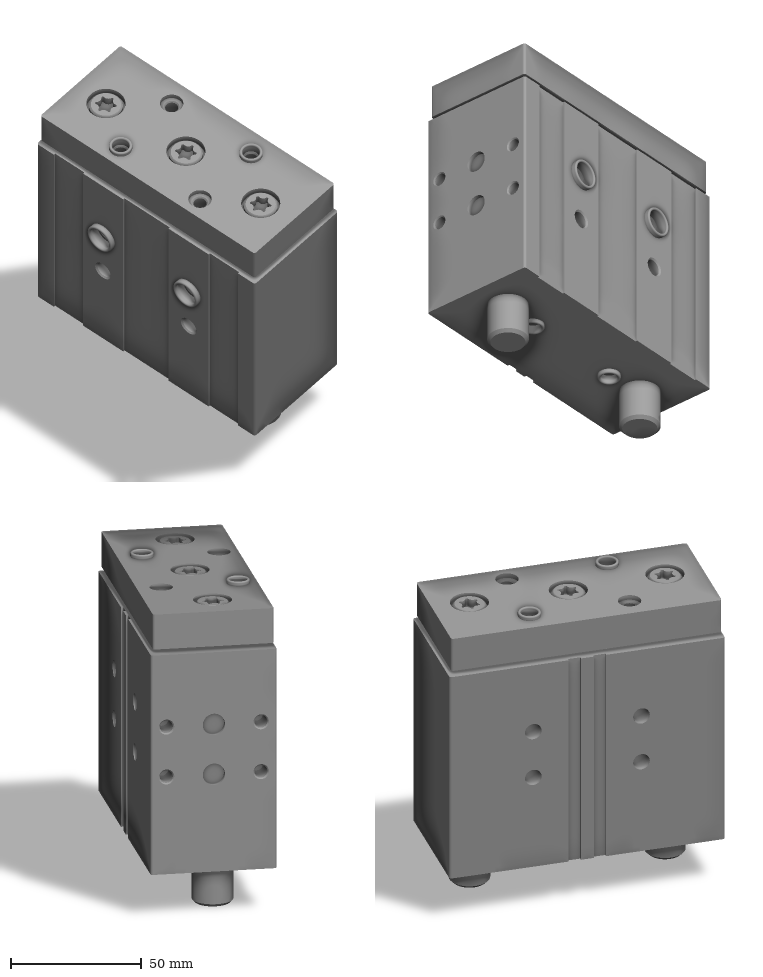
import cadquery as cq
import math


rod_overhang = 17.0
housing_height = 88.0
plate_gap = 2.1
plate_thickness = 14.0
overall_height = 122.8

housing_bottom = rod_overhang
housing_top = housing_bottom + housing_height
plate_bottom = housing_top + plate_gap
plate_top = plate_bottom + plate_thickness

housing_width = 110.0
housing_depth = 49.0
corner_radius = 1.0
front_face = -housing_depth / 2
back_face = housing_depth / 2
channel_depth = 0.7
center_channel_half = 11.4
side_channel_inner = 31.7
side_channel_outer = 46.4
back_slot_width = 15.0
back_slot_depth = 1.0
back_tongue_width = 5.2

plate_inset = 1.0
plate_width = housing_width - 2 * plate_inset
plate_depth = housing_depth - 2 * plate_inset

guide_rod_x = 39.0
guide_rod_y = -2.5
guide_rod_diameter = 16.0
rod_chamfer = 1.2
piston_y = -1.0
piston_rod_diameter = 9.8
piston_rod_depth = 73.7

rod_axes = [(-guide_rod_x, guide_rod_y), (0, piston_y), (guide_rod_x, guide_rod_y)]
head_recess_diameter = 15.0
head_recess_depth = 3.0
head_diameter = 13.0
head_drop = 0.5
head_chamfer = 0.7
star_outer_radius = 4.2
star_inner_radius = 3.0
star_depth = 3.2
star_lobes = 6
lobe_shoulder_radius = 3.7
lobe_half_angle = 9

plate_hole_x = 20.0
plate_hole_half_pitch = 15.0
plate_hole_diameter = 5.0
plate_hole_rim_diameter = 6.0

small_sleeve_diameter = 9.0
small_sleeve_bore = 6.6
small_seat_depth = 2.0
small_sleeve_length = small_seat_depth + overall_height - plate_top
bottom_sleeve_x = 22.6

upper_row_drop = 29.0
upper_row_z = housing_top - upper_row_drop
row_pitch = 20.0
lower_row_z = upper_row_z - row_pitch
front_hole_x = 21.6
front_hole_diameter = 6.6
front_hole_rim_diameter = 7.9
front_sleeve_diameter = 12.0
front_sleeve_bore = 9.7
front_sleeve_overhang = 2.3
front_seat_depth = 2.5

port_diameter = 8.6
port_recess = 2.0
port_plug_length = 4.9
side_hole_y = 18.4
side_hole_diameter = 5.0
side_hole_rim_diameter = 6.0
side_hole_depth = 9.8
drill_tip_angle = 118.0


def cylinder(diameter, length, start, direction):
    """A solid cylinder from a start point along a direction."""
    return cq.Workplane(obj=cq.Solid.makeCylinder(
        diameter / 2, length, cq.Vector(*start), cq.Vector(*direction)))


def cone(start_diameter, end_diameter, length, start, direction):
    """A solid cone from a start point along a direction."""
    return cq.Workplane(obj=cq.Solid.makeCone(
        start_diameter / 2, end_diameter / 2, length, cq.Vector(*start), cq.Vector(*direction)))


def hole_rim(rim_diameter, hole_diameter, start, direction):
    """A 45 degree countersink from a rim down to a hole."""
    return cone(rim_diameter, hole_diameter, (rim_diameter - hole_diameter) / 2, start, direction)


def block(x_min, x_max, y_min, y_max, z_min, z_max):
    size = (x_max - x_min, y_max - y_min, z_max - z_min)
    return cq.Workplane("XY").box(*size, centered=False).translate((x_min, y_min, z_min))


def star_socket(center, z_top):
    """A six-lobed drive socket with a lobe pointing along +Y."""
    def point(radius, degrees):
        angle = math.radians(degrees)
        return (radius * math.cos(angle), radius * math.sin(angle))

    first_angle = 90
    lobe_pitch = 360 / star_lobes
    outline = cq.Workplane("XY").moveTo(*point(lobe_shoulder_radius, first_angle - lobe_half_angle))
    for index in range(star_lobes):
        angle = first_angle + index * lobe_pitch
        outline = outline.threePointArc(
            point(star_outer_radius, angle),
            point(lobe_shoulder_radius, angle + lobe_half_angle))
        outline = outline.threePointArc(
            point(star_inner_radius, angle + lobe_pitch / 2),
            point(lobe_shoulder_radius, angle + lobe_pitch - lobe_half_angle))
    return outline.close().extrude(-star_depth).translate((*center, z_top))


def ring_sleeve(diameter, bore, length):
    """A sleeve standing on the XY plane, with its top end rounded over the whole wall."""
    outer_radius = diameter / 2
    inner_radius = bore / 2
    rounding = (outer_radius - inner_radius) / 2
    profile = (
        cq.Workplane("XZ")
        .moveTo(inner_radius, 0)
        .lineTo(outer_radius, 0)
        .lineTo(outer_radius, length - rounding)
        .threePointArc((inner_radius + rounding, length), (inner_radius, length - rounding))
        .close()
    )
    return profile.revolve(360, (0, 0, 0), (0, 1, 0))


def cut_side_threads(body):
    tip_length = side_hole_diameter / 2 / math.tan(math.radians(drill_tip_angle / 2))
    left_face = -housing_width / 2
    for y in (-side_hole_y, side_hole_y):
        for z in (lower_row_z, upper_row_z):
            mouth = (left_face, y, z)
            floor = (left_face + side_hole_depth, y, z)
            body = body.cut(cylinder(side_hole_diameter, side_hole_depth, mouth, (1, 0, 0)))
            body = body.cut(cone(side_hole_diameter, 0, tip_length, floor, (1, 0, 0)))
            body = body.cut(hole_rim(side_hole_rim_diameter, side_hole_diameter, mouth, (1, 0, 0)))
    return body


def cut_front_holes(body):
    inward = (0, 1, 0)
    for x in (-front_hole_x, front_hole_x):
        for z in (lower_row_z, upper_row_z):
            body = body.cut(cylinder(front_hole_diameter, housing_depth, (x, front_face, z), inward))
        lower_mouth = (x, front_face, lower_row_z)
        body = body.cut(hole_rim(front_hole_rim_diameter, front_hole_diameter, lower_mouth, inward))
        upper_mouth = (x, front_face, upper_row_z)
        seat_floor = (x, front_face + front_seat_depth, upper_row_z)
        body = body.cut(cylinder(front_sleeve_diameter, front_seat_depth, upper_mouth, inward))
        body = body.cut(hole_rim(front_hole_rim_diameter, front_hole_diameter, seat_floor, inward))
    return body


def make_housing():
    body = cq.Workplane("XY").box(housing_width, housing_depth, housing_height)
    body = body.edges("|Z").fillet(corner_radius)
    body = body.translate((0, 0, housing_bottom + housing_height / 2))

    floor_y = front_face + channel_depth
    for x_min, x_max in (
        (-side_channel_outer, -side_channel_inner),
        (-center_channel_half, center_channel_half),
        (side_channel_inner, side_channel_outer),
    ):
        body = body.cut(block(x_min, x_max, front_face, floor_y, housing_bottom, housing_top))

    slot_y = back_face - back_slot_depth
    for x_min, x_max in (
        (-back_slot_width / 2, -back_tongue_width / 2),
        (back_tongue_width / 2, back_slot_width / 2),
    ):
        body = body.cut(block(x_min, x_max, slot_y, back_face, housing_bottom, housing_top))

    for x in (-guide_rod_x, guide_rod_x):
        start = (x, guide_rod_y, housing_bottom)
        body = body.cut(cylinder(guide_rod_diameter, housing_height, start, (0, 0, 1)))
    piston_start = (0, piston_y, housing_top)
    body = body.cut(cylinder(piston_rod_diameter, piston_rod_depth, piston_start, (0, 0, -1)))

    body = cut_front_holes(body)
    body = cut_side_threads(body)

    for z in (lower_row_z, upper_row_z):
        start = (-housing_width / 2, 0, z)
        body = body.cut(cylinder(port_diameter, port_recess + port_plug_length, start, (1, 0, 0)))
    for x in (-bottom_sleeve_x, bottom_sleeve_x):
        start = (x, piston_y, housing_bottom)
        body = body.cut(cylinder(small_sleeve_diameter, small_seat_depth, start, (0, 0, 1)))
    return body


def make_guide_rod(x):
    start = (x, guide_rod_y, 0)
    end_diameter = guide_rod_diameter - 2 * rod_chamfer
    tip = cone(end_diameter, guide_rod_diameter, rod_chamfer, start, (0, 0, 1))
    shaft_start = (x, guide_rod_y, rod_chamfer)
    shaft = cylinder(guide_rod_diameter, plate_bottom - rod_chamfer, shaft_start, (0, 0, 1))
    return tip.union(shaft)


def make_carriage():
    """The moving plate with its guide rods, piston rod and screw heads."""
    body = cq.Workplane("XY").box(plate_width, plate_depth, plate_thickness)
    body = body.edges("|Z").fillet(corner_radius)
    body = body.translate((0, 0, plate_bottom + plate_thickness / 2))

    head_top = plate_top - head_drop
    for x, y in rod_axes:
        body = body.cut(cylinder(head_recess_diameter, head_recess_depth, (x, y, plate_top), (0, 0, -1)))
        head = cylinder(head_diameter, head_recess_depth - head_drop,
                        (x, y, plate_top - head_recess_depth), (0, 0, 1))
        body = body.union(head.faces(">Z").edges().chamfer(head_chamfer))
        body = body.cut(star_socket((x, y), head_top))

    for x in (-plate_hole_x, plate_hole_x):
        for y in (piston_y - plate_hole_half_pitch, piston_y + plate_hole_half_pitch):
            seat_floor = (x, y, plate_top - small_seat_depth)
            body = body.cut(cylinder(small_sleeve_diameter, small_seat_depth, seat_floor, (0, 0, 1)))
            body = body.cut(cylinder(plate_hole_diameter, plate_thickness, seat_floor, (0, 0, -1)))
            body = body.cut(hole_rim(plate_hole_rim_diameter, plate_hole_diameter, seat_floor, (0, 0, -1)))

    for x in (-guide_rod_x, guide_rod_x):
        body = body.union(make_guide_rod(x))
    piston_start = (0, piston_y, plate_bottom)
    piston_rod = cylinder(piston_rod_diameter, plate_gap + piston_rod_depth, piston_start, (0, 0, -1))
    return body.union(piston_rod)


def make_small_sleeve():
    return ring_sleeve(small_sleeve_diameter, small_sleeve_bore, small_sleeve_length)


def make_plate_sleeve(side):
    """A sleeve at one of two diagonally opposite mounting holes (side is -1 or 1)."""
    place = (side * plate_hole_x, piston_y + side * plate_hole_half_pitch, plate_top - small_seat_depth)
    return make_small_sleeve().translate(place)


def make_bottom_sleeve(x):
    sleeve = make_small_sleeve().rotate((0, 0, 0), (1, 0, 0), 180)
    return sleeve.translate((x, piston_y, housing_bottom + small_seat_depth))


def make_front_sleeve(x):
    length = front_seat_depth + front_sleeve_overhang
    sleeve = ring_sleeve(front_sleeve_diameter, front_sleeve_bore, length)
    sleeve = sleeve.rotate((0, 0, 0), (1, 0, 0), 90)
    return sleeve.translate((x, front_face + front_seat_depth, upper_row_z))


def make_port_plug(z):
    start = (-housing_width / 2 + port_recess, 0, z)
    return cylinder(port_diameter, port_plug_length, start, (1, 0, 0))


housing = make_housing()
carriage = make_carriage()
plate_sleeves = [make_plate_sleeve(side).val() for side in (-1, 1)]
front_sleeves = [make_front_sleeve(x).val() for x in (-front_hole_x, front_hole_x)]
port_plugs = [make_port_plug(z).val() for z in (lower_row_z, upper_row_z)]
bottom_sleeves = [make_bottom_sleeve(x).val() for x in (-bottom_sleeve_x, bottom_sleeve_x)]

result = cq.Compound.makeCompound([
    housing.val(),
    carriage.val(),
    *plate_sleeves,
    *front_sleeves,
    *port_plugs,
    *bottom_sleeves,
])